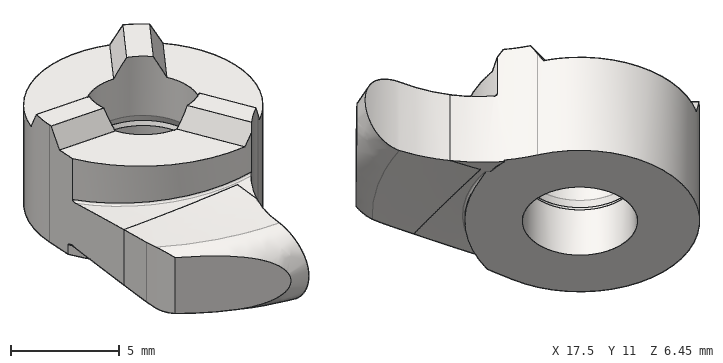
import cadquery as cq
import math

HUB_RADIUS = 5.5
HUB_HEIGHT = 5.3
BORE_RADIUS = 2.65

GROOVE_TOP = 3.12
GROOVE_BOTTOM = 2.57
GROOVE_APEX = 2.78
GROOVE_DEPTH = 0.1

TOOTH_COUNT = 3
FIRST_TOOTH_ANGLE = 30
TOOTH_HEIGHT = 1.0
TOOTH_BASE_HALF = 1.22
TOOTH_TOP_HALF = 0.61

FLANK_ANGLE = 5.1
FLANK_END_X = 7.63
HEEL_X, HEEL_Y = 9.33, -4.4
END_FACE_ANGLE = 61.2
THROAT_RADIUS = 7.35
THROAT_LOW_Y = 0.9
OUTLINE_TOP_Y = 2.1

SWEEP_X, SWEEP_Y = -1.82, 1.05
STEP_RADIUS = 7.52
UNDERSTEP_RADIUS = 7.38
ARM_ROOT_RADIUS = 7.26
NOSE_START_RADIUS = 11.81
NOSE_DROP_PER_DEGREE = 0.005
ARM_MID_Z = 1.8
ARM_HALF_HEIGHT = 1.96
RELIEF_PER_DEGREE = 0.01
RADIAL_TAPER = 0.04
SWEEP_ANGLES = range(-72, 25, 32)
STEP_FILLET = 0.1
FILLET_PICK_ANGLE = -36
FILLET_PICK_Z = 0.3

TIP_SEAT_X = 5.95
TIP_SEAT_Y = 1.26

CLEARANCE = 1.75
SPAN = 35.0


def plan_outline():
    """Prism whose plan is the hub circle running out into the hooked arm."""
    flank = math.radians(FLANK_ANGLE)
    start = (HUB_RADIUS * math.sin(flank), -HUB_RADIUS * math.cos(flank))
    flank_end = (FLANK_END_X, start[1] + (FLANK_END_X - start[0]) * math.tan(flank))
    top_x = HEEL_X + (OUTLINE_TOP_Y - HEEL_Y) / math.tan(math.radians(END_FACE_ANGLE))

    throat_y = THROAT_LOW_Y + THROAT_RADIUS
    center_distance = HUB_RADIUS + THROAT_RADIUS
    throat_x = math.sqrt(center_distance**2 - throat_y**2)
    tangent_share = HUB_RADIUS / center_distance
    throat_start = (throat_x * tangent_share, throat_y * tangent_share)
    throat_end_x = throat_x + math.sqrt(THROAT_RADIUS**2 - (throat_y - OUTLINE_TOP_Y) ** 2)

    plan = (
        cq.Workplane("XY", origin=(0, 0, -CLEARANCE))
        .moveTo(*start)
        .lineTo(*flank_end)
        .tangentArcPoint((HEEL_X, HEEL_Y), relative=False)
        .lineTo(top_x, OUTLINE_TOP_Y)
        .lineTo(throat_end_x, OUTLINE_TOP_Y)
        .threePointArc((throat_x, THROAT_LOW_Y), throat_start)
        .threePointArc((-HUB_RADIUS, 0), start)
        .close()
    )
    return plan.extrude(HUB_HEIGHT + 2 * CLEARANCE)


def arm_section(angle):
    """Round-nosed radial section of the arm at one sweep angle."""
    turn = math.radians(angle)
    nose_half = ARM_HALF_HEIGHT + RELIEF_PER_DEGREE * angle
    nose_start = NOSE_START_RADIUS + NOSE_DROP_PER_DEGREE * angle
    root_half = nose_half - RADIAL_TAPER * (nose_start - ARM_ROOT_RADIUS)
    plane = cq.Plane(
        origin=(SWEEP_X, SWEEP_Y, ARM_MID_Z),
        xDir=(math.cos(turn), math.sin(turn), 0),
        normal=(math.sin(turn), -math.cos(turn), 0),
    )
    section = (
        cq.Workplane(plane)
        .moveTo(ARM_ROOT_RADIUS, -root_half)
        .lineTo(nose_start, -nose_half)
        .threePointArc((nose_start + nose_half, 0), (nose_start, nose_half))
        .lineTo(ARM_ROOT_RADIUS, root_half)
        .close()
    )
    return section.val()


def swept_arm():
    sections = [arm_section(angle) for angle in SWEEP_ANGLES]
    return cq.Workplane(cq.Solid.makeLoft(sections))


def hub_column():
    """Hub core, bounded towards the arm by the two step walls."""
    lower = cq.Workplane("XY").center(SWEEP_X, SWEEP_Y).circle(UNDERSTEP_RADIUS).extrude(ARM_MID_Z)
    upper = (
        cq.Workplane("XY", origin=(SWEEP_X, SWEEP_Y, ARM_MID_Z))
        .circle(STEP_RADIUS)
        .extrude(HUB_HEIGHT - ARM_MID_Z)
    )
    sweep_axis = (SWEEP_X, SWEEP_Y, 0), (SWEEP_X, SWEEP_Y, 1)
    return lower.union(upper).rotate(*sweep_axis, 180)


def drive_teeth(outline):
    """Radial teeth ending flush with the bore, the outline and the step wall."""
    limits = (
        cq.Workplane("XY", origin=(SWEEP_X, SWEEP_Y, HUB_HEIGHT))
        .circle(STEP_RADIUS)
        .extrude(TOOTH_HEIGHT)
        .intersect(outline)
        .cut(bore_cutter())
    )
    bar = (
        cq.Workplane("YZ")
        .moveTo(-TOOTH_BASE_HALF, HUB_HEIGHT)
        .lineTo(TOOTH_BASE_HALF, HUB_HEIGHT)
        .lineTo(TOOTH_TOP_HALF, HUB_HEIGHT + TOOTH_HEIGHT)
        .lineTo(-TOOTH_TOP_HALF, HUB_HEIGHT + TOOTH_HEIGHT)
        .close()
        .extrude(HUB_RADIUS + CLEARANCE)
    )
    bars = cq.Workplane("XY")
    for index in range(TOOTH_COUNT):
        angle = FIRST_TOOTH_ANGLE + index * 360 / TOOTH_COUNT
        bars = bars.add(bar.rotate((0, 0, 0), (0, 0, 1), angle))
    return bars.combine().intersect(limits)


def bore_cutter():
    """Plain bore with a V-shaped ring around it."""
    return (
        cq.Workplane("XZ")
        .moveTo(0, -CLEARANCE)
        .lineTo(BORE_RADIUS, -CLEARANCE)
        .lineTo(BORE_RADIUS, GROOVE_BOTTOM)
        .lineTo(BORE_RADIUS + GROOVE_DEPTH, GROOVE_APEX)
        .lineTo(BORE_RADIUS, GROOVE_TOP)
        .lineTo(BORE_RADIUS, HUB_HEIGHT + CLEARANCE)
        .lineTo(0, HUB_HEIGHT + CLEARANCE)
        .close()
        .revolve(360, (0, 0, 0), (0, 1, 0))
    )


def tip_region():
    """Everything beyond the two seat faces of the cutting tip."""
    return (
        cq.Workplane("XY")
        .box(SPAN, SPAN, SPAN, centered=(False, False, True))
        .translate((TIP_SEAT_X, TIP_SEAT_Y - SPAN, 0))
    )


outline = plan_outline()
arm = swept_arm()

upper_step = (SWEEP_X + STEP_RADIUS, SWEEP_Y, ARM_MID_Z + ARM_HALF_HEIGHT)
lower_turn = math.radians(FILLET_PICK_ANGLE)
lower_step = (
    SWEEP_X + UNDERSTEP_RADIUS * math.cos(lower_turn),
    SWEEP_Y + UNDERSTEP_RADIUS * math.sin(lower_turn),
    FILLET_PICK_Z,
)
step_edges = cq.selectors.NearestToPointSelector(upper_step) + cq.selectors.NearestToPointSelector(lower_step)
hub = (
    hub_column()
    .union(arm)
    .edges(step_edges)
    .fillet(STEP_FILLET)
    .intersect(outline)
    .cut(tip_region())
    .cut(bore_cutter())
    .union(drive_teeth(outline))
    .clean()
)

tip = arm.intersect(outline).intersect(tip_region())

result = cq.Compound.makeCompound([hub.val(), tip.val()])